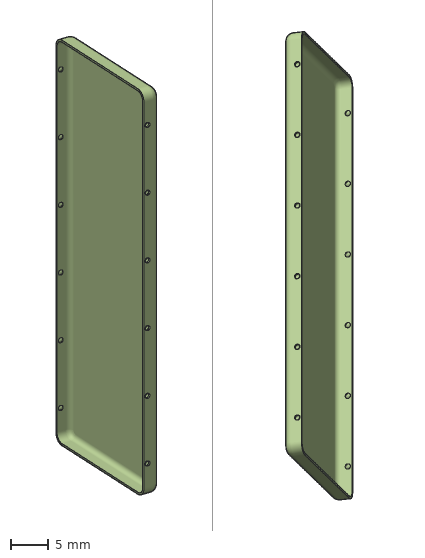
import cadquery as cq

width = 21.2
depth = 2.5
height = 59.9
wall = 0.3
corner_radius = 1.45
floor_edge_radius = 1.0

dimple_radius = 0.35
bump_radius = 0.5
dimple_count = 6
dimple_pitch = 10.0
dimple_rim_distance = 0.6

rim_y = -depth / 2


def rounded_block(inset):
    """Block inset from the tray's outer faces, starting at the rim, with rounded corners and floor edge."""
    return (
        cq.Workplane("XZ", origin=(0, rim_y, 0))
        .rect(width - 2 * inset, height - 2 * inset)
        .extrude(-(depth - inset))
        .edges("|Y")
        .fillet(corner_radius - inset)
        .faces(">Y")
        .edges()
        .fillet(floor_edge_radius - inset)
    )


def side_spheres(radius):
    """Spheres centred on the outer faces of both long side walls, one at each dimple."""
    spheres = cq.Workplane("XY")
    for side_x in (-width / 2, width / 2):
        row = (
            cq.Workplane("YZ", origin=(side_x, rim_y + dimple_rim_distance, 0))
            .rarray(0.6, dimple_pitch, 1, dimple_count)
            .sphere(radius)
        )
        spheres = spheres.add(row)
    return spheres.combine()


outer_block = rounded_block(0)
tray = outer_block.cut(rounded_block(wall))
bumps = side_spheres(bump_radius).intersect(outer_block)
result = tray.union(bumps).cut(side_spheres(dimple_radius))